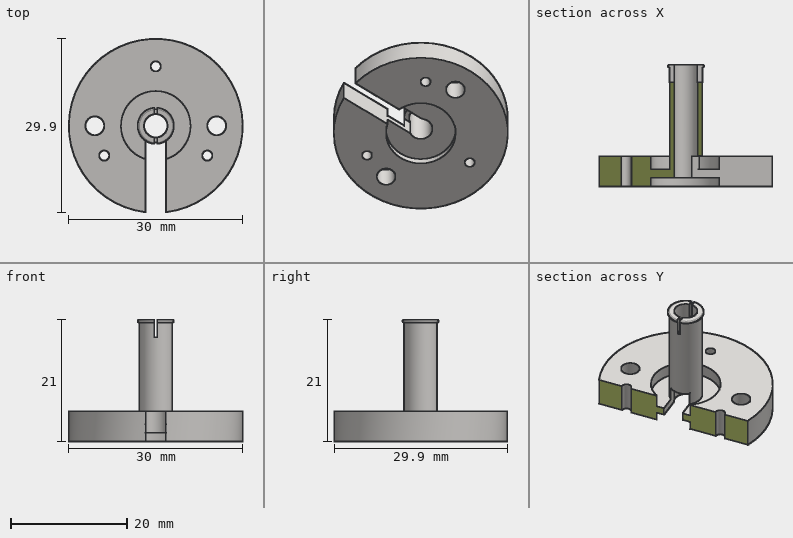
import cadquery as cq

disc_diameter = 30.0
disc_thickness = 5.25
recess_diameter = 12.0
top_recess_depth = 2.25
bottom_recess_depth = 1.5

total_height = 21.0
tube_diameter = 5.75
bore_diameter = 4.0

lip_radius = 0.25
lip_diameter = tube_diameter + 2 * lip_radius

radial_slot_width = 3.5
relief_slot_width = 0.5
relief_slot_depth = 3.0

large_hole_diameter = 3.2
large_hole_offset = 10.5
small_hole_diameter = 1.7
small_hole_circle_radius = 10.25
small_hole_count = 3
first_small_hole_angle = 90.0


def cylinder(diameter, bottom, top):
    """Cylinder on the Z axis between two heights."""
    return cq.Workplane("XY").workplane(offset=bottom).circle(diameter / 2).extrude(top - bottom)


def flange():
    """Disc recessed from both faces, leaving a thin web around the tube."""
    disc = cylinder(disc_diameter, 0, disc_thickness)
    top_recess = cylinder(recess_diameter, disc_thickness - top_recess_depth, disc_thickness)
    bottom_recess = cylinder(recess_diameter, 0, bottom_recess_depth)
    return disc.cut(top_recess).cut(bottom_recess)


def tube():
    """Tube rising from the underside of the web, with a half-round lip at its top."""
    tube_radius = tube_diameter / 2
    return (
        cq.Workplane("XZ")
        .moveTo(0, bottom_recess_depth)
        .lineTo(tube_radius, bottom_recess_depth)
        .lineTo(tube_radius, total_height - 2 * lip_radius)
        .threePointArc((lip_diameter / 2, total_height - lip_radius), (tube_radius, total_height))
        .lineTo(0, total_height)
        .close()
        .revolve(360, (0, 0), (0, 1))
    )


def radial_slot():
    """Slot from the axis out through the -Y rim, as tall as the flange."""
    length = disc_diameter / 2
    return cq.Workplane("XY").center(0, -length / 2).rect(radial_slot_width, length).extrude(disc_thickness)


def relief_slot():
    """Narrow slot across both tube walls, open at the top."""
    return (
        cq.Workplane("XY")
        .workplane(offset=total_height - relief_slot_depth)
        .rect(relief_slot_width, lip_diameter)
        .extrude(relief_slot_depth)
    )


def flange_holes():
    """Two large holes on the X axis and a ring of small holes."""
    large = (
        cq.Workplane("XY")
        .pushPoints([(-large_hole_offset, 0), (large_hole_offset, 0)])
        .circle(large_hole_diameter / 2)
        .extrude(disc_thickness)
    )
    small = (
        cq.Workplane("XY")
        .polarArray(small_hole_circle_radius, first_small_hole_angle, 360, small_hole_count)
        .circle(small_hole_diameter / 2)
        .extrude(disc_thickness)
    )
    return large.union(small)


result = (
    flange()
    .union(tube())
    .cut(cylinder(bore_diameter, 0, total_height))
    .cut(radial_slot())
    .cut(relief_slot())
    .cut(flange_holes())
)